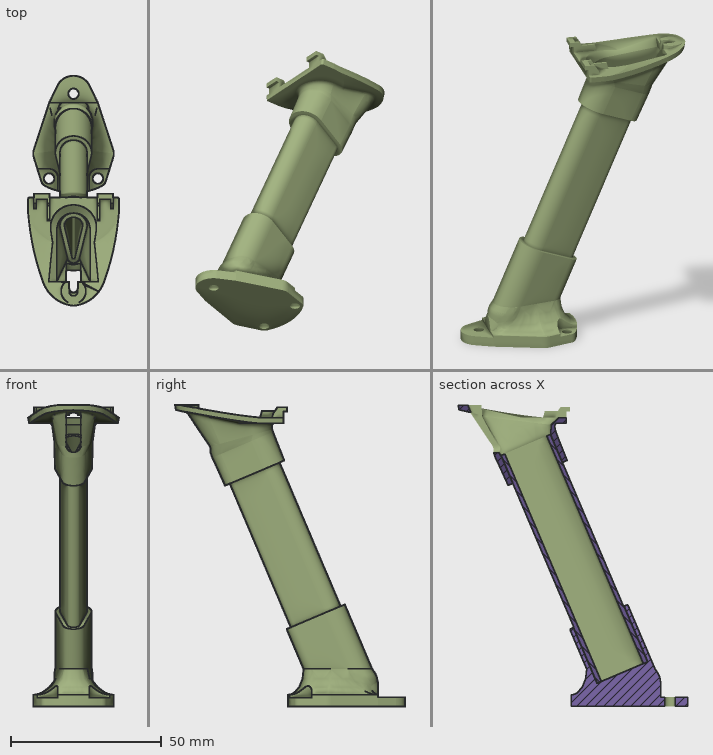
import cadquery as cq
import math


RAKE_ANGLE = 23.0
AXIS_FOOT_Y = 64.3
TUBE_LENGTHWISE = 18.0
TUBE_REAR_R = 4.5
TUBE_NOSE_R = 2.0
TUBE_WALL = 1.5
NOSE_OFFSET = TUBE_LENGTHWISE - TUBE_REAR_R - TUBE_NOSE_R
TAPER_SIN = (TUBE_REAR_R - TUBE_NOSE_R) / NOSE_OFFSET
TAPER_COS = math.sqrt(1 - TAPER_SIN ** 2)
RAKE_SIN = math.sin(math.radians(RAKE_ANGLE))
RAKE_COS = math.cos(math.radians(RAKE_ANGLE))

SOCKET_DEPTH = 20.0
SLEEVE_END = 34.4
TUBE_START = SLEEVE_END - SOCKET_DEPTH
COLLAR_LENGTH = 10.2
TUBE_END = 96.4
COLLAR_START = TUBE_END - COLLAR_LENGTH

SLEEVE_WALL = 1.5
FOOT_REAR_Y = 76.5
FOOT_FRONT_Y = 37.5
FOOT_HALF_WIDTH = 13.6
FOOT_WIDEST_Y = 50.6
FOOT_SIDE_R = 4.0
FOOT_CORNER_R = 2.5
FOOT_CORNER = (10.4, 40.4)
FOOT_EAR_TANGENT = (5.2, 73.5)
REAR_EAR_HEIGHT = 3.2
FRONT_EAR_HEIGHT = 3.0
FOOT_HEIGHT = 4.0
FLARE_TOP_Z = 12.5
FLARE_REAR_Y = 67.5
FLARE_REAR_HALF_WIDTH = 8.1
FLARE_REAR_BOW = 0.1
FLARE_REAR_RISE = 0.65
FLARE_STEPS = 6
FLARE_EASE = 0.75
FLARE_REACH = 0.97
EAR_POCKET_Y = 45.5
EAR_POCKET_X = 5.2
EAR_POCKET_R = 2.8
SCREW_HOLE_D = 3.4
REAR_HOLE_Y = 70.5
FRONT_HOLE = (8.1, 42.3)

COLLAR_WALL = 1.7
COLLAR_DRAFT = 1.5
PLATE_REAR_Y = 36.1
PLATE_THICKNESS = 1.9
PLATE_TOP_Z = 96.0
PLATE_HALF_WIDTH = 15.1
DISH_FLAT_R = 16.5
DISH_SLOPE = 0.23
DISH_R = 45.1
PLATE_TOP_AT_TIP = 100.2
PLATE_DRAFT = 11.0
PLATE_SHOULDER_Y = 31.1
PLATE_BLANK_DEPTH = 8.0
PLATE_SIDE = (13.0, 18.5)
PLATE_NOSE_CORNER = (10.6, 8.5)
PLATE_NOSE_MID = (6.4, 2.6)
PLATE_CORNER_R = 0.7

WAIST_REAR = (32.4, 92.1)
WAIST_NOSE = (11.1, 86.2)
WAIST_HALF = 6.7
WAIST_NOSE_HALF = 5.2
WAIST_NOSE_DEPTH = 4.0
BRIM_REAR = (32.2, 94.8)
BRIM_NOSE = (3.4, 98.1)
BRIM_HALF = 7.4
BRIM_NOSE_HALF = 7.2
BRIM_FILLET = 0.8
WINDOW_WIDTH = 4.9
WINDOW_BOTTOM_Z = 84.5
WINDOW_DEPTH = 14.0

THROAT_REAR = (30.9, 93.6)
THROAT_FRONT = (8.0, 96.4)
THROAT_HALF = 5.5
MOUTH_REAR = (33.7, 96.1)
MOUTH_FRONT = (7.9, 98.9)
MOUTH_HALF = 8.8
MOUTH_FRONT_HALF = 8.2
FRONT_WALL_BOW = 0.1

PAD_R = 4.1
PAD_Y = 4.9
PAD_DEPTH = 1.7
SLOT_WIDTH = 2.9

HOOK_OUTER_X = 13.1
HOOK_WIDTH = 5.2
HOOK_ARM = 0.8
HOOK_HEIGHT = 3.5
HOOK_LIP = 1.2
HOOK_LIP_THICKNESS = 1.5
HOOK_WALL = 0.6
RIB_HEIGHT = 2.2
RIB_END_Y = 28.3
RIB_SLOPE = 0.6
ARM_TOP_Y = 34.1
ARM_SHOULDER_Y = 32.7
ARM_SHOULDER_HEIGHT = 1.4
ARM_END_Y = 32.3


def rake_plane(station):
    """Plane square to the tube axis; local +Y points to the rear of the teardrop."""
    return cq.Plane(
        origin=(0, AXIS_FOOT_Y - station * RAKE_SIN, station * RAKE_COS),
        xDir=(1, 0, 0),
        normal=(0, -RAKE_SIN, RAKE_COS),
    )


def teardrop(work, offset=0.0):
    """Rear arc, tapered sides and nose arc of the tube outline, grown by an offset."""
    rear = TUBE_REAR_R + offset
    nose = TUBE_NOSE_R + offset
    return egg(
        work,
        (rear * TAPER_COS, -rear * TAPER_SIN), rear,
        (nose * TAPER_COS, -NOSE_OFFSET - nose * TAPER_SIN), -NOSE_OFFSET - nose,
    )


def egg(work, rear_corner, rear_tip, nose_corner, nose_tip):
    """Closed outline symmetric about Y: rear arc, side, nose arc, side."""
    rear_x, rear_y = rear_corner
    nose_x, nose_y = nose_corner
    return (
        work.moveTo(rear_x, rear_y)
        .threePointArc((0, rear_tip), (-rear_x, rear_y))
        .lineTo(-nose_x, nose_y)
        .threePointArc((0, nose_tip), (nose_x, nose_y))
        .close()
    )


def teardrop_bar(start, end, offset=0.0):
    return teardrop(cq.Workplane(rake_plane(start)), offset).extrude(end - start)


def make_tube():
    return teardrop_bar(TUBE_START, TUBE_END).cut(teardrop_bar(TUBE_START, TUBE_END, -TUBE_WALL))


def upright_edges_near(y):
    """Selector for the vertical edges of the foot plate at a given Y, left and right."""
    reach_x = 2 * FOOT_HALF_WIDTH
    margin = FOOT_HEIGHT / 8
    return cq.selectors.BoxSelector(
        (-reach_x, y - margin, margin), (reach_x, y + margin, FOOT_HEIGHT - margin)
    )


def foot_plate():
    ear_x, ear_y = FOOT_EAR_TANGENT
    corner_x, corner_y = FOOT_CORNER
    return (
        cq.Workplane("XY")
        .moveTo(ear_x, ear_y)
        .threePointArc((0, FOOT_REAR_Y), (-ear_x, ear_y))
        .lineTo(-FLARE_REAR_HALF_WIDTH, FLARE_REAR_Y)
        .lineTo(-FOOT_HALF_WIDTH, FOOT_WIDEST_Y)
        .lineTo(-corner_x, corner_y)
        .threePointArc((0, FOOT_FRONT_Y), (corner_x, corner_y))
        .lineTo(FOOT_HALF_WIDTH, FOOT_WIDEST_Y)
        .lineTo(FLARE_REAR_HALF_WIDTH, FLARE_REAR_Y)
        .close()
        .extrude(FOOT_HEIGHT)
        .edges(upright_edges_near(FOOT_WIDEST_Y))
        .fillet(FOOT_SIDE_R)
        .edges(upright_edges_near(corner_y))
        .fillet(FOOT_CORNER_R)
    )


def blend(top, bottom, share):
    """Value part of the way from top to bottom."""
    return top + share * (bottom - top)


def flare_section(work, spread, front_spread, rear_spread):
    """Outline between the sleeve (spread 0) and the foot edge (spread 1)."""
    rear = TUBE_REAR_R + SLEEVE_WALL
    nose = TUBE_NOSE_R + SLEEVE_WALL
    axis_y = AXIS_FOOT_Y - FLARE_TOP_Z * RAKE_SIN / RAKE_COS
    nose_y = axis_y - NOSE_OFFSET / RAKE_COS
    sleeve_side_x = (rear + nose) / 2 * TAPER_COS
    sleeve_side_y = (axis_y + nose_y) / 2 - (rear + nose) / 2 * TAPER_SIN / RAKE_COS

    rear_x = blend(rear * TAPER_COS, FLARE_REAR_HALF_WIDTH, spread)
    rear_y = blend(axis_y - rear * TAPER_SIN / RAKE_COS, FLARE_REAR_Y - FLARE_REAR_BOW, spread)
    rear_tip = blend(axis_y + rear / RAKE_COS, FLARE_REAR_Y, rear_spread)
    side_x = blend(sleeve_side_x, FOOT_HALF_WIDTH, spread)
    side_y = blend(sleeve_side_y, FOOT_WIDEST_Y, spread)
    nose_x = blend(nose * TAPER_COS, FOOT_CORNER[0], spread)
    corner_y = blend(nose_y - nose * TAPER_SIN / RAKE_COS, FOOT_CORNER[1], front_spread)
    nose_tip = blend(nose_y - nose / RAKE_COS, FOOT_FRONT_Y, front_spread)
    return (
        work.moveTo(rear_x, rear_y)
        .threePointArc((0, rear_tip), (-rear_x, rear_y))
        .lineTo(-side_x, side_y)
        .lineTo(-nose_x, corner_y)
        .threePointArc((0, nose_tip), (nose_x, corner_y))
        .lineTo(side_x, side_y)
        .close()
    )


def foot_flare():
    """Concave skirt from the foot edge up to the sleeve, following a quarter ellipse."""
    work = cq.Workplane("XY")
    height = FLARE_TOP_Z - FOOT_HEIGHT
    level = 0.0
    for step in range(FLARE_STEPS + 1):
        angle = math.pi / 2 * step / FLARE_STEPS
        z = FOOT_HEIGHT + height * (1 - math.cos(angle))
        front_spread = FLARE_REACH * (1 - math.sin(angle))
        spread = FLARE_REACH * (1 - math.sin(angle)) ** FLARE_EASE
        rear_spread = FLARE_REACH * min(1.0, math.cos(angle) / (1 - FLARE_REAR_RISE))
        work = flare_section(work.workplane(offset=z - level), spread, front_spread, rear_spread)
        level = z
    return work.loft()


def front_ear_pocket(side):
    """Round-cornered clearance above a front screw ear, open to the outside."""
    reach = FOOT_HALF_WIDTH
    centre = (side * (EAR_POCKET_X + reach / 2), EAR_POCKET_Y - reach / 2, FRONT_EAR_HEIGHT)
    return (
        cq.Workplane("XY", origin=centre)
        .rect(reach, reach)
        .extrude(FLARE_TOP_Z)
        .edges("|Z")
        .fillet(EAR_POCKET_R)
    )


def make_foot():
    sleeve = teardrop_bar(0, SLEEVE_END, SLEEVE_WALL)
    reach = 2 * FOOT_REAR_Y
    keep = cq.Workplane("XY").box(reach, FLARE_REAR_Y, reach, centered=(True, False, False))
    foot = foot_plate().union(foot_flare()).union(sleeve.intersect(keep))
    rear_ear = (
        cq.Workplane("XY", origin=(0, FLARE_REAR_Y, REAR_EAR_HEIGHT))
        .box(reach, reach, FOOT_HEIGHT, centered=(True, False, False))
    )
    foot = foot.cut(rear_ear)
    for side in (-1, 1):
        foot = foot.cut(front_ear_pocket(side))
    holes = (
        cq.Workplane("XY")
        .pushPoints([(0, REAR_HOLE_Y), FRONT_HOLE, (-FRONT_HOLE[0], FRONT_HOLE[1])])
        .circle(SCREW_HOLE_D / 2)
        .extrude(FOOT_HEIGHT)
    )
    return foot.cut(holes).cut(teardrop_bar(TUBE_START, SLEEVE_END))


def dish(bottom_z, top_z):
    """Flat disc with a rim that rises as a shallow cone, about the middle of the rear edge."""
    rise = DISH_SLOPE * (DISH_R - DISH_FLAT_R)
    return (
        cq.Workplane("XZ", origin=(0, PLATE_REAR_Y, 0))
        .moveTo(0, bottom_z)
        .lineTo(DISH_FLAT_R, bottom_z)
        .lineTo(DISH_R, bottom_z + rise)
        .lineTo(DISH_R, top_z + rise)
        .lineTo(DISH_FLAT_R, top_z)
        .lineTo(0, top_z)
        .close()
        .revolve(360, (0, 0, 0), (0, 1, 0))
    )


def mirrored(point):
    return (-point[0], point[1])


def plate_blank():
    """Drafted block with the plate outline, sized so the flat rear part gets its full width."""
    inset = math.tan(math.radians(PLATE_DRAFT)) * (PLATE_TOP_AT_TIP - PLATE_TOP_Z)
    half = PLATE_HALF_WIDTH + inset
    rear_y = PLATE_REAR_Y + 2 * inset
    return (
        cq.Workplane("XY", origin=(0, 0, PLATE_TOP_AT_TIP))
        .moveTo(-half, rear_y)
        .lineTo(half, rear_y)
        .lineTo(half, PLATE_SHOULDER_Y)
        .threePointArc((PLATE_SIDE[0] + inset, PLATE_SIDE[1]), PLATE_NOSE_CORNER)
        .threePointArc(PLATE_NOSE_MID, (0, 0))
        .threePointArc(mirrored(PLATE_NOSE_MID), mirrored(PLATE_NOSE_CORNER))
        .threePointArc((-PLATE_SIDE[0] - inset, PLATE_SIDE[1]), (-half, PLATE_SHOULDER_Y))
        .close()
        .extrude(-PLATE_BLANK_DEPTH, taper=PLATE_DRAFT)
    )


def make_plate():
    reach = 4 * PLATE_HALF_WIDTH
    rear_trim = (
        cq.Workplane("XY", origin=(0, PLATE_REAR_Y, 0))
        .box(reach, reach, 3 * PLATE_TOP_AT_TIP, centered=(True, False, True))
    )
    plate = plate_blank().cut(rear_trim)
    plate = plate.faces(">Y").edges("not #Z").fillet(PLATE_CORNER_R)
    return plate.intersect(dish(PLATE_TOP_Z - PLATE_THICKNESS, PLATE_TOP_Z))


def leaning_egg(rear_tip, nose_tip, rear_half, rear_depth, nose_half, nose_depth):
    """Egg outline between two (Y, Z) tips; each end arc has a half width and a depth."""
    run = rear_tip[0] - nose_tip[0]
    rise = rear_tip[1] - nose_tip[1]
    length = math.hypot(run, rise)
    plane = cq.Plane(origin=(0, *rear_tip), xDir=(1, 0, 0), normal=(0, -rise, run))
    outline = egg(cq.Workplane(plane), (rear_half, -rear_depth), 0, (nose_half, nose_depth - length), -length)
    return outline.wire().val()


def ruled_loft(wires):
    return cq.Workplane(cq.Solid.makeLoft(wires, True))


def make_collar():
    outline = teardrop(cq.Workplane(rake_plane(COLLAR_START)), COLLAR_WALL)
    return outline.extrude(COLLAR_LENGTH, taper=-COLLAR_DRAFT)


def make_shroud():
    """Outer body that widens from the collar up to the plate."""
    top_wall = COLLAR_WALL + COLLAR_LENGTH * math.tan(math.radians(COLLAR_DRAFT))
    collar_top = teardrop(cq.Workplane(rake_plane(TUBE_END)), top_wall).wire().val()
    waist = leaning_egg(WAIST_REAR, WAIST_NOSE, WAIST_HALF, WAIST_HALF, WAIST_NOSE_HALF, WAIST_NOSE_DEPTH)
    brim = leaning_egg(BRIM_REAR, BRIM_NOSE, BRIM_HALF, BRIM_HALF, BRIM_NOSE_HALF, BRIM_HALF)
    return ruled_loft([collar_top, waist, brim]).intersect(dish(0, PLATE_TOP_Z))


def front_window():
    """Round-bottomed opening through the front wall into the pocket."""
    radius = WINDOW_WIDTH / 2
    return (
        cq.Workplane("XZ")
        .moveTo(-radius, PLATE_TOP_AT_TIP)
        .lineTo(-radius, WINDOW_BOTTOM_Z + radius)
        .threePointArc((0, WINDOW_BOTTOM_Z), (radius, WINDOW_BOTTOM_Z + radius))
        .lineTo(radius, PLATE_TOP_AT_TIP)
        .close()
        .extrude(-WINDOW_DEPTH)
    )


def make_pocket():
    """Hollow from the tube end up to a flared mouth with a flat front wall."""
    floor = teardrop(cq.Workplane(rake_plane(TUBE_END))).wire().val()
    throat = leaning_egg(THROAT_REAR, THROAT_FRONT, THROAT_HALF, THROAT_HALF, THROAT_HALF, FRONT_WALL_BOW)
    mouth = leaning_egg(MOUTH_REAR, MOUTH_FRONT, MOUTH_HALF, MOUTH_HALF, MOUTH_FRONT_HALF, FRONT_WALL_BOW)
    return ruled_loft([floor, throat, mouth])


def make_pad():
    """Flat round seat at the bracket tip, cut off straight at the pocket front."""
    base_z = PLATE_TOP_AT_TIP - PAD_DEPTH
    disc = cq.Workplane("XY", origin=(0, PAD_Y, base_z)).circle(PAD_R).extrude(PAD_DEPTH)
    trim = (
        cq.Workplane("XY", origin=(0, MOUTH_FRONT[0], base_z))
        .box(4 * PAD_R, 4 * PAD_R, PAD_DEPTH, centered=(True, False, False))
    )
    return disc.cut(trim)


def keyhole_slot():
    """Round-ended slot through the pad, parallel to the tube axis and open into the pocket."""
    slot_plane = cq.Plane(
        origin=(0, PAD_Y, PLATE_TOP_AT_TIP), xDir=(1, 0, 0), normal=(0, -RAKE_SIN, RAKE_COS)
    )
    length = 2 * (MOUTH_FRONT[0] - PAD_Y)
    depth = 4 * PLATE_THICKNESS
    end = cq.Workplane(slot_plane).circle(SLOT_WIDTH / 2).extrude(depth, both=True)
    run = cq.Workplane(slot_plane).center(0, length / 2).rect(SLOT_WIDTH, length).extrude(depth, both=True)
    return end.union(run)


def side_profile(points, start_x, width):
    """Extrude a (Y, Z) polygon along +X."""
    return cq.Workplane("YZ", origin=(start_x, 0, 0)).polyline(points).close().extrude(width)


def make_hook():
    """Right-hand hook: lipped rear wall, two sloped arms and a long low rib on the inner arm."""
    root_z = PLATE_TOP_Z - PLATE_THICKNESS / 2
    top_z = PLATE_TOP_Z + HOOK_HEIGHT
    wall_y = PLATE_REAR_Y - HOOK_WALL
    inner_x = HOOK_OUTER_X - HOOK_WIDTH
    wall = [
        (wall_y, root_z),
        (PLATE_REAR_Y, root_z),
        (PLATE_REAR_Y, top_z - HOOK_LIP_THICKNESS),
        (PLATE_REAR_Y + HOOK_LIP, top_z - HOOK_LIP_THICKNESS),
        (PLATE_REAR_Y + HOOK_LIP, top_z),
        (wall_y, top_z),
    ]
    arm = [
        (PLATE_REAR_Y, root_z),
        (PLATE_REAR_Y, top_z),
        (ARM_TOP_Y, top_z),
        (ARM_SHOULDER_Y, PLATE_TOP_Z + ARM_SHOULDER_HEIGHT),
        (ARM_END_Y, PLATE_TOP_Z),
        (ARM_END_Y, root_z),
    ]
    rib = [
        (PLATE_REAR_Y, root_z),
        (PLATE_REAR_Y, PLATE_TOP_Z + RIB_HEIGHT),
        (RIB_END_Y + RIB_SLOPE, PLATE_TOP_Z + RIB_HEIGHT),
        (RIB_END_Y, PLATE_TOP_Z),
        (RIB_END_Y, root_z),
    ]
    return (
        side_profile(wall, inner_x, HOOK_WIDTH)
        .union(side_profile(arm, HOOK_OUTER_X - HOOK_ARM, HOOK_ARM))
        .union(side_profile(arm, inner_x, HOOK_ARM))
        .union(side_profile(rib, inner_x, HOOK_ARM))
    )


def make_bracket():
    plate_underside = PLATE_TOP_Z - PLATE_THICKNESS
    brim_seam = cq.selectors.BoxSelector(
        (-BRIM_HALF, PAD_Y, plate_underside - BRIM_FILLET), (BRIM_HALF, WAIST_REAR[0], THROAT_FRONT[1] + 1)
    )
    plate = make_plate()
    bracket = make_shroud().union(plate)
    bracket = bracket.edges(brim_seam).fillet(BRIM_FILLET)
    bracket = bracket.cut(front_window().cut(plate))
    bracket = bracket.union(make_collar()).union(make_pad())
    bracket = bracket.cut(make_pocket()).cut(keyhole_slot())
    bracket = bracket.cut(teardrop_bar(COLLAR_START, TUBE_END))
    hook = make_hook()
    return bracket.union(hook).union(hook.mirror("YZ"))


foot = make_foot()
tube = make_tube()
bracket = make_bracket()

result = cq.Compound.makeCompound([foot.solids().val(), tube.solids().val(), bracket.solids().val()])